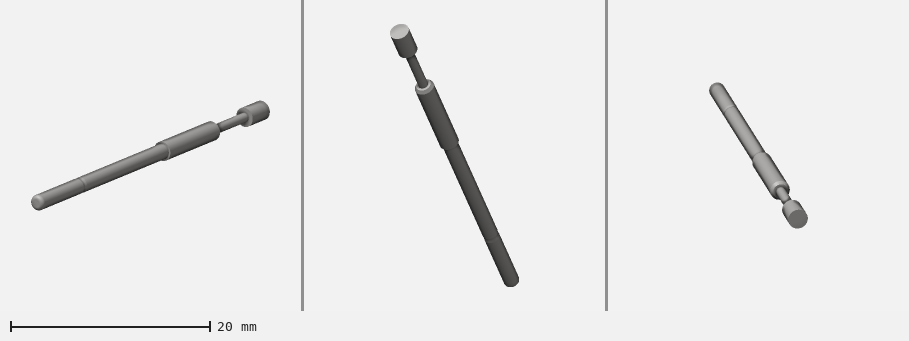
import cadquery as cq

overall_length = 39.3

head_diameter = 2.0
sleeve_diameter = head_diameter
stem_diameter = 1.0
barrel_diameter = 1.6

head_length = 3.0
stem_length = 5.35
sleeve_length = 9.0
barrel_length = overall_length - head_length - stem_length - sleeve_length

shoulder_length = 0.35
shoulder_step = 0.25
tail_round = 0.4

groove_center = 7.45
groove_width = 0.63
groove_depth = 0.06


def axial_cylinder(diameter, start, length):
    """Solid cylinder about the Y axis, running from start towards +Y."""
    base = cq.Workplane("XZ", origin=(0, start, 0))
    return base.circle(diameter / 2).extrude(-length)


def crimp_groove():
    """Ring with a V-shaped section that is cut from the barrel."""
    barrel_radius = barrel_diameter / 2
    half_width = groove_width / 2
    section = (
        cq.Workplane("XY")
        .moveTo(barrel_radius, groove_center - half_width)
        .lineTo(barrel_radius - groove_depth, groove_center)
        .lineTo(barrel_radius, groove_center + half_width)
        .close()
    )
    return section.revolve(360, (0, 0, 0), (0, 1, 0))


barrel = axial_cylinder(barrel_diameter, 0, barrel_length)
barrel = barrel.faces("<Y").edges().fillet(tail_round)
barrel = barrel.cut(crimp_groove())

sleeve_start = barrel_length
sleeve = axial_cylinder(sleeve_diameter, sleeve_start, sleeve_length)
sleeve = sleeve.faces(">Y").edges().chamfer(shoulder_length, shoulder_step)

stem_start = sleeve_start + sleeve_length
stem = axial_cylinder(stem_diameter, stem_start, stem_length)
head = axial_cylinder(head_diameter, stem_start + stem_length, head_length)

result = barrel.union(sleeve).union(stem).union(head)